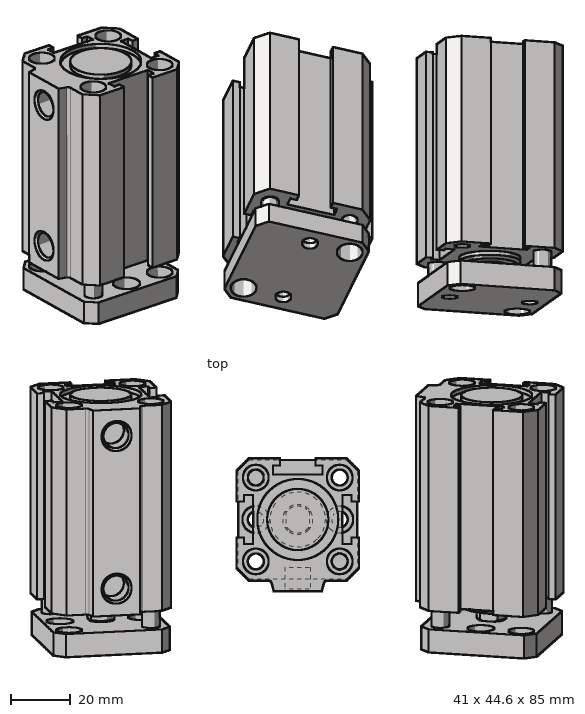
import cadquery as cq
import math

TOTAL_HEIGHT = 85.0
PLATE_THICKNESS = 8.0
GAP = 6.5
HOUSING_BOTTOM = PLATE_THICKNESS + GAP
HOUSING_HEIGHT = TOTAL_HEIGHT - HOUSING_BOTTOM

HOUSING_WIDTH = 41.0
HALF_WIDTH = HOUSING_WIDTH / 2
HOUSING_CHAMFER = 4.2
PORT_PAD_HEIGHT = 3.6
PORT_PAD_WIDTH = 16.1
PORT_PAD_DRAFT = 15.0
PORT_PAD_FILLET = 1.0
PORT_FACE_Y = -(HALF_WIDTH + PORT_PAD_HEIGHT)

SLOT_OPENING = 12.0
SLOT_WIDTH = 16.5
SLOT_LIP = 2.5
SLOT_DEPTH = 5.5
SLOT_ANGLES = (0, 90, 180)

PORT_DIAMETER = 8.6
PORT_MOUTH_DIAMETER = 10.3
PORT_CHAMFER = (PORT_MOUTH_DIAMETER - PORT_DIAMETER) / 2
PORT_DEPTH = 8.0
UPPER_PORT_Z = 75.9
LOWER_PORT_Z = 23.6

GROOVE_OUTER_DIAMETER = 27.1
CAP_DIAMETER = 20.5
GROOVE_DEPTH = 1.5
COLLAR_DIAMETER = CAP_DIAMETER
COLLAR_HEIGHT = 2.4
COLLAR_CHAMFER = 1.0

PATTERN_OFFSET = 14.0
SCREW_HOLE_DIAMETER = 5.3
HOUSING_COUNTERBORE_DIAMETER = 8.6
HOUSING_COUNTERBORE_DEPTH = 5.5
GUIDE_ROD_DIAMETER = 6.0
GUIDE_CORNERS = [(-PATTERN_OFFSET, PATTERN_OFFSET), (PATTERN_OFFSET, -PATTERN_OFFSET)]
OPEN_CORNERS = [(-PATTERN_OFFSET, -PATTERN_OFFSET), (PATTERN_OFFSET, PATTERN_OFFSET)]
PLATE_SCREWS = [(-PATTERN_OFFSET, 0), (PATTERN_OFFSET, 0)]

PLATE_WIDTH = 39.95
PLATE_CHAMFER = 3.5
PLATE_COUNTERBORE_DIAMETER = 9.0
PLATE_COUNTERBORE_DEPTH = 5.5
PLATE_CLEARANCE_DIAMETER = 8.6

PISTON_ROD_DIAMETER = 10.0
PISTON_ROD_CHAMFER = 0.5
WRENCH_WIDTH = 8.0
WRENCH_FLAT_HEIGHT = 2.9
COLLAR_BOTTOM = HOUSING_BOTTOM - COLLAR_HEIGHT


def chamfered_block(width, height, chamfer, bottom):
    """Square block with its four upright edges chamfered."""
    block = cq.Workplane("XY", origin=(0, 0, bottom)).rect(width, width).extrude(height)
    return block.edges("|Z").chamfer(chamfer)


def cylinder(diameter, bottom, top, centres=((0, 0),)):
    """Upright cylinders standing at the given centres."""
    base = cq.Workplane("XY", origin=(0, 0, bottom)).pushPoints(centres)
    return base.circle(diameter / 2).extrude(top - bottom)


def port_pad():
    """Raised pad on the front, with drafted sides."""
    spread = PORT_PAD_HEIGHT * math.tan(math.radians(PORT_PAD_DRAFT))
    face_half = PORT_PAD_WIDTH / 2
    root_half = face_half + spread
    return (
        cq.Workplane("XY", origin=(0, 0, HOUSING_BOTTOM))
        .moveTo(-root_half, 0)
        .lineTo(-root_half, -HALF_WIDTH)
        .lineTo(-face_half, PORT_FACE_Y)
        .lineTo(face_half, PORT_FACE_Y)
        .lineTo(root_half, -HALF_WIDTH)
        .lineTo(root_half, 0)
        .close()
        .extrude(HOUSING_HEIGHT)
    )


def housing_blank():
    """Chamfered block and port pad, blended where the pad leaves the front face."""
    blank = chamfered_block(HOUSING_WIDTH, HOUSING_HEIGHT, HOUSING_CHAMFER, HOUSING_BOTTOM)
    blank = blank.union(port_pad())
    root_zone = cq.selectors.BoxSelector(
        (-PORT_PAD_WIDTH, PORT_FACE_Y + PORT_PAD_HEIGHT / 2, HOUSING_BOTTOM),
        (PORT_PAD_WIDTH, -HALF_WIDTH + PORT_PAD_HEIGHT / 2, TOTAL_HEIGHT),
    )
    root_edges = blank.edges("|Z").edges(root_zone)
    return root_edges.fillet(PORT_PAD_FILLET)


def sensor_slot(angle):
    """T-slot cutter running the full housing height."""
    inner_x = HALF_WIDTH - SLOT_DEPTH
    lip_x = HALF_WIDTH - SLOT_LIP
    half_opening = SLOT_OPENING / 2
    half_width = SLOT_WIDTH / 2
    slot = (
        cq.Workplane("XY", origin=(0, 0, HOUSING_BOTTOM))
        .moveTo(inner_x, -half_width)
        .lineTo(lip_x, -half_width)
        .lineTo(lip_x, -half_opening)
        .lineTo(HALF_WIDTH, -half_opening)
        .lineTo(HALF_WIDTH, half_opening)
        .lineTo(lip_x, half_opening)
        .lineTo(lip_x, half_width)
        .lineTo(inner_x, half_width)
        .close()
        .extrude(HOUSING_HEIGHT)
    )
    return slot.rotate((0, 0, 0), (0, 0, 1), angle)


def air_port(height):
    """Blind port cutter entering the pad from the front, with a chamfered mouth."""
    radius = PORT_DIAMETER / 2
    return (
        cq.Workplane("XY")
        .moveTo(0, 0)
        .lineTo(PORT_MOUTH_DIAMETER / 2, 0)
        .lineTo(radius, PORT_CHAMFER)
        .lineTo(radius, PORT_DEPTH)
        .lineTo(0, PORT_DEPTH)
        .close()
        .revolve(360, (0, 0, 0), (0, 1, 0))
        .translate((0, PORT_FACE_Y, height))
    )


def counterbored_holes(centres, bottom, top, head_diameter, head_depth):
    """Through holes counterbored from the top."""
    holes = cylinder(SCREW_HOLE_DIAMETER, bottom, top, centres)
    return holes.union(cylinder(head_diameter, top - head_depth, top, centres))


def make_housing():
    """Extruded cylinder housing with end cap and rod collar."""
    housing = housing_blank()
    for angle in SLOT_ANGLES:
        housing = housing.cut(sensor_slot(angle))
    for height in (LOWER_PORT_Z, UPPER_PORT_Z):
        housing = housing.cut(air_port(height))

    groove_floor = TOTAL_HEIGHT - GROOVE_DEPTH
    groove = cylinder(GROOVE_OUTER_DIAMETER, groove_floor, TOTAL_HEIGHT)
    groove = groove.cut(cylinder(CAP_DIAMETER, groove_floor, TOTAL_HEIGHT))
    housing = housing.cut(groove)

    corners = GUIDE_CORNERS + OPEN_CORNERS
    screw_holes = counterbored_holes(
        corners, HOUSING_BOTTOM, TOTAL_HEIGHT, HOUSING_COUNTERBORE_DIAMETER, HOUSING_COUNTERBORE_DEPTH
    )
    housing = housing.cut(screw_holes)

    collar = cylinder(COLLAR_DIAMETER, COLLAR_BOTTOM, HOUSING_BOTTOM)
    return housing.union(collar.faces("<Z").chamfer(COLLAR_CHAMFER))


def make_piston_rod():
    """Exposed end of the piston rod, between collar and tool plate."""
    rod = cylinder(PISTON_ROD_DIAMETER, PLATE_THICKNESS, COLLAR_BOTTOM)
    rod = rod.faces("<Z").chamfer(PISTON_ROD_CHAMFER)
    side_cut = PISTON_ROD_DIAMETER / 2
    for side in (-1, 1):
        cut_centre = side * (WRENCH_WIDTH + side_cut) / 2
        flat = cq.Workplane("XY", origin=(cut_centre, 0, PLATE_THICKNESS))
        rod = rod.cut(flat.rect(side_cut, PISTON_ROD_DIAMETER).extrude(WRENCH_FLAT_HEIGHT))
    return rod


def make_slide():
    """Tool plate carried by the piston rod and two guide rods."""
    slide = chamfered_block(PLATE_WIDTH, PLATE_THICKNESS, PLATE_CHAMFER, 0)
    screw_holes = counterbored_holes(
        PLATE_SCREWS, 0, PLATE_THICKNESS, PLATE_COUNTERBORE_DIAMETER, PLATE_COUNTERBORE_DEPTH
    )
    slide = slide.cut(screw_holes)
    slide = slide.cut(cylinder(PLATE_CLEARANCE_DIAMETER, 0, PLATE_THICKNESS, OPEN_CORNERS))
    guide_rods = cylinder(GUIDE_ROD_DIAMETER, PLATE_THICKNESS, HOUSING_BOTTOM, GUIDE_CORNERS)
    slide = slide.union(guide_rods)
    return slide.union(make_piston_rod())


housing = make_housing()
slide = make_slide()

result = cq.Compound.makeCompound([housing.val(), slide.val()])